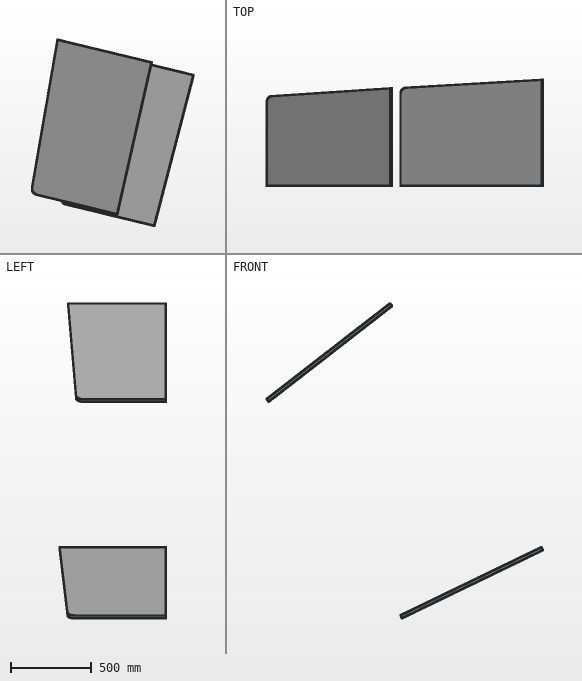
import cadquery as cq
import math

overall_width = 1711.0
overall_height = 1952.0

thickness = 21.0
corner_radius = 40.0

upper_slope = 37.8
upper_length = 968.0
upper_low_depth = 555.0
upper_high_depth = 605.0

lower_slope = 25.8
lower_length = 970.0
lower_low_depth = 607.0
lower_high_depth = 658.0


def flat_panel(length, low_depth, high_depth):
    """Tapered plate with its top face on XY and one rounded corner at its low end."""
    return (
        cq.Workplane("XY")
        .polyline([(0, 0), (length, 0), (length, high_depth), (0, low_depth)])
        .close()
        .extrude(-thickness)
        .edges("|Z and <X").edges(">Y")
        .fillet(corner_radius)
    )


def tilt(panel, slope):
    """Raise the +X end of a flat panel by turning it about its low front edge."""
    return panel.rotate((0, 0, 0), (0, 1, 0), -slope)


def upper_panel():
    low_edge_z = overall_height - upper_length * math.sin(math.radians(upper_slope))
    panel = flat_panel(upper_length, upper_low_depth, upper_high_depth)
    return tilt(panel, upper_slope).translate((0, 0, low_edge_z))


def lower_panel():
    slope = math.radians(lower_slope)
    reach = lower_length * math.cos(slope) + thickness * math.sin(slope)
    low_edge_z = thickness * math.cos(slope)
    panel = flat_panel(lower_length, lower_low_depth, lower_high_depth)
    return tilt(panel, lower_slope).translate((overall_width - reach, 0, low_edge_z))


result = cq.Compound.makeCompound([upper_panel().val(), lower_panel().val()])